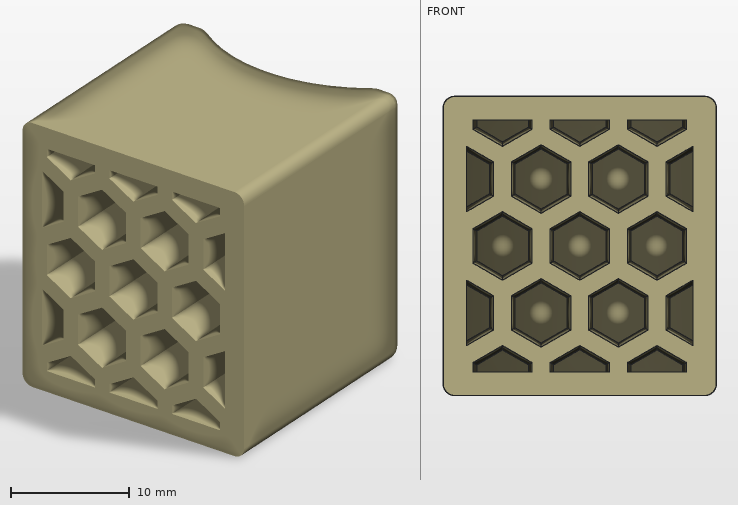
import cadquery as cq
import math

width = 23.0
depth = 23.0
height = 25.2
side_round = 1.0
back_round = 1.5

cradle_radius = 14.5
cradle_sag = 3.0

wall = 2.0
cradle_wall = 3.0

cell_flats = 5.0
cell_gap = 1.5
cell_draft = 1.0
columns_each_side = 2
rows_each_side = 2

cradle_axis_y = depth - cradle_sag + cradle_radius
cell_pitch = cell_flats + cell_gap
flat_to_corner_ratio = math.cos(math.radians(30))
row_pitch = cell_pitch * flat_to_corner_ratio
cell_corner_diameter = cell_flats / flat_to_corner_ratio


def upright_box(size_x, size_z, size_y):
    """Box centred on X, standing with its front face on Y = 0 and centred on Z = 0."""
    return cq.Workplane("XY").box(size_x, size_y, size_z, centered=(True, False, True))


def cradle_cylinder(radius):
    """Upright cylinder on the cradle axis, as tall as the block."""
    return (
        cq.Workplane("XY")
        .center(0, cradle_axis_y)
        .circle(radius)
        .extrude(height / 2, both=True)
    )


def make_block():
    """Block with the cradle cut and its long edges and back edges rounded."""
    block = upright_box(width, height, depth).cut(cradle_cylinder(cradle_radius))
    block = block.edges(">Y or %CIRCLE").fillet(back_round)
    return block.edges("|Y").fillet(side_round)


def make_cavity():
    """Hollow whose inner end runs parallel to the cradle."""
    box = upright_box(width - 2 * wall, height - 2 * wall, depth)
    return box.cut(cradle_cylinder(cradle_radius + cradle_wall))


def make_cells():
    """Staggered rows of tapered hexagonal cells, each with a corner pointing up."""
    centres = []
    for row in range(-rows_each_side, rows_each_side + 1):
        shift = cell_pitch / 2 if row % 2 else 0
        for column in range(-columns_each_side, columns_each_side + 1):
            centres.append((column * cell_pitch + shift, row * row_pitch))
    cell = (
        cq.Workplane("XZ")
        .transformed(rotate=(0, 0, 90))
        .polygon(6, cell_corner_diameter)
        .extrude(-depth, taper=cell_draft)
    )
    cells = cq.Workplane("XY")
    for x, z in centres:
        cells = cells.add(cell.translate((x, 0, z)))
    return cells.combine()


result = make_block().cut(make_cavity().intersect(make_cells()))